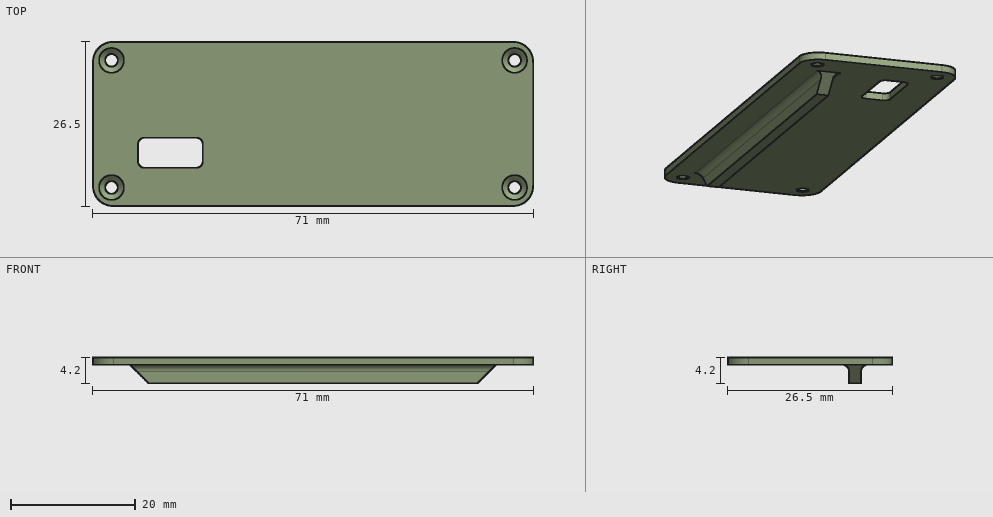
import cadquery as cq

plate_length = 71.0
plate_width = 26.5
plate_thickness = 1.2
corner_radius = 3.25

hole_diameter = 2.0
countersink_diameter = 4.0
countersink_angle = 90.0
hole_inset = 3.0

window_length = 10.4
window_width = 4.8
window_corner_radius = 1.0
window_left_inset = 7.3
window_front_inset = 6.2

rib_height = 3.0
rib_thickness = 2.0
rib_root_radius = 1.0
rib_end_inset = 6.0
rib_back_inset = 6.0


def make_plate():
    """Flat plate with rounded vertical corners."""
    plate = cq.Workplane("XY").box(
        plate_length, plate_width, plate_thickness, centered=(True, True, False)
    )
    return plate.edges("|Z").fillet(corner_radius)


def cut_screw_holes(plate):
    """Four through holes, countersunk from the top face."""
    return (
        plate.faces(">Z")
        .workplane(origin=(0, 0, plate_thickness))
        .rect(plate_length - 2 * hole_inset, plate_width - 2 * hole_inset, forConstruction=True)
        .vertices()
        .cskHole(hole_diameter, countersink_diameter, countersink_angle)
    )


def make_window():
    """Solid to remove for the round-cornered window."""
    window_x = -plate_length / 2 + window_left_inset + window_length / 2
    window_y = -plate_width / 2 + window_front_inset + window_width / 2
    block = cq.Workplane("XY").box(
        window_length, window_width, plate_thickness, centered=(True, True, False)
    )
    return block.edges("|Z").fillet(window_corner_radius).translate((window_x, window_y, 0))


def make_rib():
    """Rib with concave root fillets on both long sides, trimmed by 45 degree ends."""
    rib_y = plate_width / 2 - rib_back_inset
    half_thickness = rib_thickness / 2
    half_root = half_thickness + rib_root_radius
    half_length = plate_length / 2 - rib_end_inset

    section = (
        cq.Workplane("YZ", origin=(-half_length, rib_y, 0))
        .moveTo(-half_root, 0)
        .radiusArc((-half_thickness, -rib_root_radius), rib_root_radius)
        .lineTo(-half_thickness, -rib_height)
        .lineTo(half_thickness, -rib_height)
        .lineTo(half_thickness, -rib_root_radius)
        .radiusArc((half_root, 0), rib_root_radius)
        .close()
        .extrude(2 * half_length)
    )

    half_tip_length = half_length - rib_height
    side_profile = (
        cq.Workplane("XZ", origin=(0, rib_y, 0))
        .polyline(
            [
                (-half_length, 0),
                (half_length, 0),
                (half_tip_length, -rib_height),
                (-half_tip_length, -rib_height),
            ]
        )
        .close()
        .extrude(half_root, both=True)
    )
    return section.intersect(side_profile)


result = cut_screw_holes(make_plate()).cut(make_window()).union(make_rib())